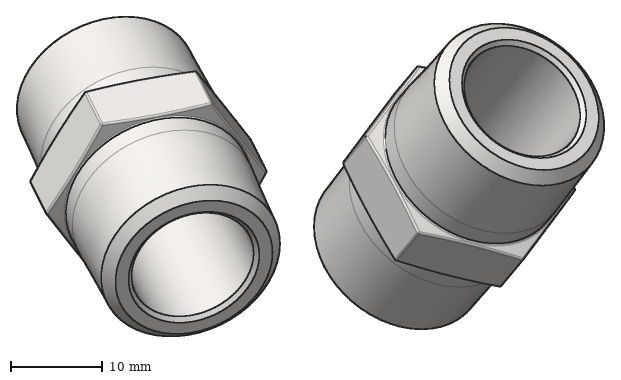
import cadquery as cq
import math

total_length = 34.0
bore_radius = 14.0 / 2
bore_chamfer = 0.5

collar_radius = 21.14 / 2
collar_end = 5.9
end_chamfer = 1.25
taper_per_length = 1 / 32
half_length = total_length / 2
taper_end = half_length - end_chamfer
taper_end_radius = collar_radius - (taper_end - collar_end) * taper_per_length

across_flats = 22.0
across_corners = across_flats / math.cos(math.radians(30))
hex_half_width_at_collar = 3.43
side_slope = math.tan(math.radians(10))
hex_edge_radius = 0.25
root_fillet_radius = 0.2


def revolve_about_x(points):
    """Turn a closed (x, radius) outline into a solid of revolution about X."""
    return cq.Workplane("XY").polyline(points).close().revolve(360, (0, 0, 0), (1, 0, 0))


def make_hexagon():
    """Hexagonal prism with rounded corners, trimmed by two cones, its rims rounded."""
    cone_radius = across_corners
    core_half_width = hex_half_width_at_collar + (collar_radius - bore_radius) * side_slope
    rim_half_width = hex_half_width_at_collar - (cone_radius - collar_radius) * side_slope
    double_cone = revolve_about_x(
        [
            (-core_half_width, 0),
            (-core_half_width, bore_radius),
            (-rim_half_width, cone_radius),
            (rim_half_width, cone_radius),
            (core_half_width, bore_radius),
            (core_half_width, 0),
        ]
    )
    prism = cq.Workplane("YZ").polygon(6, across_corners).extrude(core_half_width, both=True)
    trimmed = prism.edges("|X").fillet(hex_edge_radius).intersect(double_cone)
    return trimmed.edges("not (%LINE or %CIRCLE)").fillet(hex_edge_radius)


def make_body():
    """Outer shape of both threaded ends as one turned solid."""
    right_half = [
        (collar_end, collar_radius),
        (taper_end, taper_end_radius),
        (half_length, taper_end_radius - end_chamfer),
        (half_length, 0),
    ]
    left_half = [(-x, radius) for x, radius in reversed(right_half)]
    return revolve_about_x(left_half + right_half)


def make_bore():
    """Through bore with a chamfer at each mouth."""
    mouth_radius = bore_radius + bore_chamfer
    chamfer_start = half_length - bore_chamfer
    return revolve_about_x(
        [
            (-half_length, 0),
            (-half_length, mouth_radius),
            (-chamfer_start, bore_radius),
            (chamfer_start, bore_radius),
            (half_length, mouth_radius),
            (half_length, 0),
        ]
    )


def fillet_hexagon_roots(part):
    """Round the inside corners where the collars meet the hexagon."""
    collar_middle = (hex_half_width_at_collar + collar_end) / 2
    hexagon_zone = cq.selectors.BoxSelector(
        (-collar_middle, -across_flats, -across_flats),
        (collar_middle, across_flats, across_flats),
    )
    return part.edges("%CIRCLE").edges(hexagon_zone).fillet(root_fillet_radius)


outer = fillet_hexagon_roots(make_hexagon().union(make_body()))
result = outer.cut(make_bore())